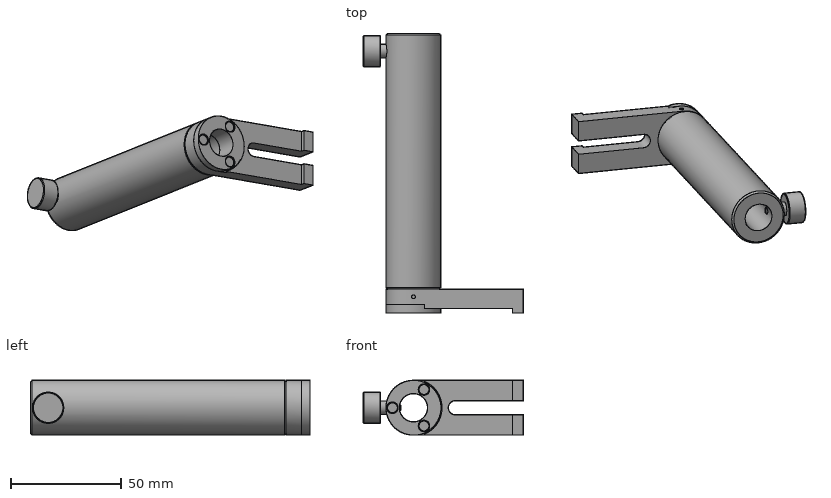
import cadquery as cq
import math

total_length = 127.05
tube_radius = 12.5
bore_radius = 6.35
tube_edge_chamfer = 0.8

cap_thickness = 3.8
sleeve_radius = 9.5
arm_back = 10.9
tube_length = total_length - arm_back

arm_reach = 50.0
fork_face = 2.0
toe_length = 5.0
slot_width = 6.35
slot_end = 15.9
cap_clearance = 0.5
recess_flat = 5.0

screw_count = 3
screw_circle_radius = 9.55
screw_radius = 2.25
screw_hole_chamfer = 0.35
screw_tip = 3.0

pin_radius = 0.85
pin_y = (cap_thickness + arm_back) / 2
pin_recess = 0.3

thumbscrew_inset = 8.05
thumbscrew_y = total_length - thumbscrew_inset
knob_radius = 7.1
knob_outer_x = 22.91
knob_length = 8.0
knob_chamfer = 0.4
shank_radius = 3.175
tip_x = 5.75
tip_chamfer = 2.1


def rod(radius, start, length):
    """A cylinder on the tube axis, starting at Y = start."""
    return cq.Workplane("XZ", origin=(0, start, 0)).circle(radius).extrude(-length)


def screw_points():
    """X, Z positions of the screws, the first one on the -X side."""
    angles = [math.pi + i * 2 * math.pi / screw_count for i in range(screw_count)]
    return [(screw_circle_radius * math.cos(a), screw_circle_radius * math.sin(a)) for a in angles]


def make_screw(x, z):
    length = screw_tip - screw_hole_chamfer
    return rod(screw_radius, screw_hole_chamfer, length).translate((x, 0, z))


def pin_cylinder(top):
    """A vertical cylinder of the pin's size, standing on the sleeve and ending at Z = top."""
    base = cq.Workplane("XY", origin=(0, pin_y, sleeve_radius))
    return base.circle(pin_radius).extrude(top - sleeve_radius)


def make_pin():
    return pin_cylinder(tube_radius - pin_recess)


def make_thumbscrew():
    origin = (-knob_outer_x, thumbscrew_y, 0)
    knob = cq.Workplane("YZ", origin=origin).circle(knob_radius).extrude(knob_length)
    knob = knob.edges().chamfer(knob_chamfer)
    shank = cq.Workplane("YZ", origin=origin).circle(shank_radius).extrude(knob_outer_x - tip_x)
    shank = shank.faces(">X").edges().chamfer(tip_chamfer)
    return knob.union(shank)


def make_tube():
    tube = rod(tube_radius, arm_back, tube_length).edges().chamfer(tube_edge_chamfer)
    tube = tube.cut(rod(bore_radius, arm_back, tube_length))
    return tube.cut(make_thumbscrew())


def make_cap():
    """Flange with a sleeve that runs through the arm to the tube."""
    cap = rod(tube_radius, 0, cap_thickness).union(rod(sleeve_radius, 0, arm_back))
    cap = cap.cut(rod(bore_radius, 0, arm_back))
    for x, z in screw_points():
        mouth = cq.Solid.makeCone(
            screw_radius + screw_hole_chamfer,
            screw_radius,
            screw_hole_chamfer,
            pnt=cq.Vector(x, 0, z),
            dir=cq.Vector(0, 1, 0),
        )
        cap = cap.cut(rod(screw_radius, 0, screw_tip).translate((x, 0, z)))
        cap = cap.cut(cq.Workplane(mouth))
    return cap


def make_arm():
    profile = [
        (0, cap_thickness),
        (0, arm_back),
        (arm_reach, arm_back),
        (arm_reach, 0),
        (arm_reach - toe_length, 0),
        (arm_reach - toe_length, fork_face),
        (recess_flat, fork_face),
        (recess_flat, cap_thickness),
    ]
    bar = cq.Workplane("XY").polyline(profile).close().extrude(tube_radius, both=True)
    arm = bar.union(rod(tube_radius, cap_thickness, arm_back - cap_thickness))
    arm = arm.cut(rod(tube_radius + cap_clearance, 0, cap_thickness))
    arm = arm.cut(rod(sleeve_radius, 0, arm_back))

    slot_radius = slot_width / 2
    slot_center = slot_end + slot_radius
    arm = arm.cut(rod(slot_radius, 0, arm_back).translate((slot_center, 0, 0)))
    slot_length = arm_reach - slot_center
    straight = cq.Workplane("XY").box(slot_length, arm_back, slot_width, centered=(False, False, True))
    arm = arm.cut(straight.translate((slot_center, 0, 0)))

    return arm.cut(pin_cylinder(tube_radius))


tube = make_tube()
arm = make_arm()
cap = make_cap()
thumbscrew = make_thumbscrew()
pin = make_pin()
screws = [make_screw(x, z) for x, z in screw_points()]

result = cq.Compound.makeCompound(
    [tube.val(), arm.val(), cap.val(), thumbscrew.val(), pin.val(), *[screw.val() for screw in screws]]
)